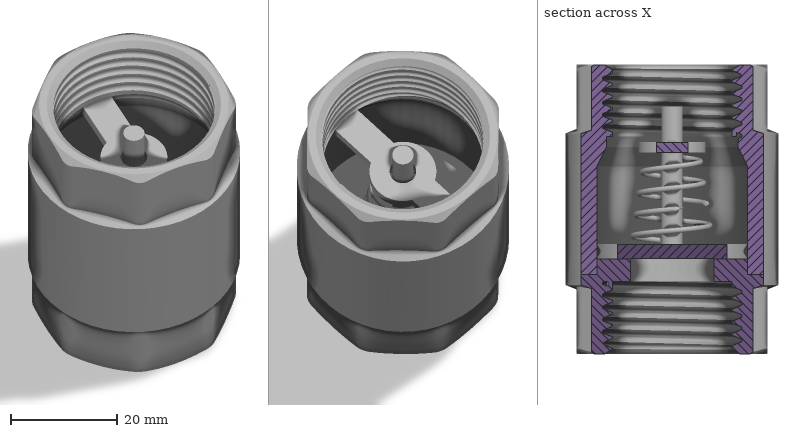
import cadquery as cq
import math

total_height = 54.5
body_diameter = 40.0
across_flats = 36.0
flat_count = 8
corner_radius = 3.55
shoulder_height = 12.95
shoulder_top = total_height - shoulder_height
split_height = 14.95
shoulder_slope = 22.0
octagon_chamfer_slope = 37.0
octagon_chamfer_diameter = 35.7

mouth_diameter = 32.75
mouth_chamfer_depth = 0.9
thread_minor_diameter = 30.35
thread_major_diameter = 33.25
thread_pitch = 2.3
thread_flank_angle = 27.5
thread_root_rounding = 0.315
thread_start_angle = -130.0
thread_turns = 4.9
thread_runout_turns = 0.7
thread_cut_overlap = 0.15
thread_start_depth = 13.4
port_depth = 13.6

guide_seat_diameter = 32.1
cone_top = 38.9
chamber_diameter = 34.95
chamber_top = 35.25
passage_diameter = 25.8
seat_height = 18.0

poppet_diameter = 29.1
poppet_thickness = 2.7
stem_diameter = 4.0
stem_top = 46.55

guide_top = 39.9
guide_thickness = 2.0
hub_diameter = 12.6
arm_width = 6.0
guide_hole_diameter = 5.0

spring_wire_diameter = 1.0
spring_base_outer_diameter = 16.15
spring_step_per_turn = 0.6
spring_turns = 4.0


def cylinder(diameter, bottom, top):
    return cq.Workplane("XY").workplane(offset=bottom).circle(diameter / 2).extrude(top - bottom)


def cone(bottom_diameter, bottom, top_diameter, top):
    profile = [(0, bottom), (bottom_diameter / 2, bottom), (top_diameter / 2, top), (0, top)]
    return cq.Workplane("XZ").polyline(profile).close().revolve(360, (0, 0), (0, 1))


def turned_end_for_end(solid):
    """Swap the top and bottom ends about the middle of the valve."""
    middle = (0, 0, total_height / 2)
    return solid.rotate(middle, (1, 0, total_height / 2), 180)


def octagon_end(bottom):
    """Wrench octagon up to the top end face, with rounded corners and a conical chamfer."""
    corner_circle = across_flats / math.cos(math.pi / flat_count)
    octagon = (
        cq.Workplane("XY")
        .workplane(offset=bottom)
        .polygon(flat_count, corner_circle)
        .extrude(total_height - bottom)
        .rotate((0, 0, 0), (0, 0, 1), 180 / flat_count)
        .edges("|Z")
        .fillet(corner_radius)
    )
    chamfer_width = (corner_circle - octagon_chamfer_diameter) / 2
    chamfer_start = total_height - chamfer_width * math.tan(math.radians(octagon_chamfer_slope))
    limit = cylinder(corner_circle, bottom, chamfer_start).union(
        cone(corner_circle, chamfer_start, octagon_chamfer_diameter, total_height)
    )
    return octagon.intersect(limit)


def outside_end(joint):
    """Outside of the valve from the joint up: round body, sloped shoulder and wrench octagon."""
    rise = (body_diameter - across_flats) / 2 * math.tan(math.radians(shoulder_slope))
    round_body = cylinder(body_diameter, joint, shoulder_top)
    shoulder = cone(body_diameter, shoulder_top, across_flats, shoulder_top + rise)
    return round_body.union(shoulder).union(octagon_end(joint))


def groove_section(start):
    """V profile with a round root, centered at the given height on the +X side."""
    root_radius = thread_major_diameter / 2
    inner_radius = thread_minor_diameter / 2 - thread_cut_overlap
    flank_angle = math.radians(thread_flank_angle)
    root_half = thread_root_rounding * math.cos(flank_angle)
    root_end = root_radius - thread_root_rounding * (1 - math.sin(flank_angle))
    mouth_half = root_half + (root_end - inner_radius) * math.tan(flank_angle)
    return (
        cq.Workplane("XZ")
        .moveTo(inner_radius, start - mouth_half)
        .lineTo(root_end, start - root_half)
        .threePointArc((root_radius, start), (root_end, start + root_half))
        .lineTo(inner_radius, start + mouth_half)
        .close()
    )


def thread_groove():
    """Helical groove that rises from the bottom of the upper port and runs out below its mouth."""
    root_radius = thread_major_diameter / 2
    start = total_height - thread_start_depth
    full_rise = thread_pitch * thread_turns
    helix = cq.Wire.makeHelix(thread_pitch, full_rise, root_radius, cq.Vector(0, 0, start))
    full_groove = groove_section(start).sweep(cq.Workplane(helix), isFrenet=True)

    runout_start = start + full_rise
    runout_rise = thread_pitch * thread_runout_turns
    thread_depth = (thread_major_diameter - thread_minor_diameter) / 2
    taper = math.degrees(math.atan2(thread_depth, runout_rise))
    spiral = cq.Wire.makeHelix(
        thread_pitch, runout_rise, root_radius, cq.Vector(0, 0, runout_start), angle=-taper
    )
    runout = groove_section(runout_start).sweep(cq.Workplane(spiral), isFrenet=True)
    runout_angle = thread_start_angle + 360 * thread_turns
    return [
        full_groove.rotate((0, 0, 0), (0, 0, 1), thread_start_angle),
        runout.rotate((0, 0, 0), (0, 0, 1), runout_angle),
    ]


def cut_port(body):
    """Bore, mouth chamfer and thread of the upper port."""
    body = body.cut(cylinder(thread_minor_diameter, total_height - port_depth, total_height))
    body = body.cut(cone(thread_minor_diameter, total_height - mouth_chamfer_depth, mouth_diameter, total_height))
    for groove in thread_groove():
        body = body.cut(groove)
    return body


def make_housing():
    """Main body: upper port, ring seat for the guide, and a chamber that widens below it."""
    body = cut_port(outside_end(split_height))
    body = body.cut(cylinder(guide_seat_diameter, cone_top, total_height - port_depth))
    body = body.cut(cone(chamber_diameter, chamber_top, guide_seat_diameter, cone_top))
    return body.cut(cylinder(chamber_diameter, split_height, chamber_top))


def make_end_cap():
    """Lower port, made as an upper one and turned over, with a spigot that carries the valve seat."""
    cap = turned_end_for_end(cut_port(outside_end(total_height - split_height)))
    cap = cap.union(cylinder(chamber_diameter, port_depth, seat_height))
    return cap.cut(cylinder(passage_diameter, port_depth, seat_height))


def make_poppet():
    """Sealing disc on the seat, with a stem that slides in the guide."""
    disc = cylinder(poppet_diameter, seat_height, seat_height + poppet_thickness)
    return disc.union(cylinder(stem_diameter, seat_height, stem_top))


def make_guide():
    """Flat bar across the housing with a round hub and a clearance hole for the stem."""
    bottom = guide_top - guide_thickness
    arms = (
        cq.Workplane("XY")
        .workplane(offset=bottom)
        .rect(guide_seat_diameter, arm_width)
        .extrude(guide_thickness)
        .intersect(cylinder(guide_seat_diameter, bottom, guide_top))
    )
    guide = arms.union(cylinder(hub_diameter, bottom, guide_top))
    return guide.cut(cylinder(guide_hole_diameter, bottom, guide_top))


def make_spring():
    """Conical coil spring between the poppet disc and the guide hub."""
    wire_radius = spring_wire_diameter / 2
    base = seat_height + poppet_thickness + wire_radius
    height = guide_top - guide_thickness - wire_radius - base
    pitch = height / spring_turns
    base_radius = spring_base_outer_diameter / 2 - wire_radius
    taper = math.degrees(math.atan2(spring_step_per_turn * spring_turns, height))
    helix = cq.Wire.makeHelix(pitch, height, base_radius, cq.Vector(0, 0, base), angle=-taper)
    return (
        cq.Workplane("XZ")
        .center(base_radius, base)
        .circle(wire_radius)
        .sweep(cq.Workplane(helix), isFrenet=True)
    )


housing = make_housing()
end_cap = make_end_cap()
poppet = make_poppet()
guide = make_guide()
spring = make_spring()

result = cq.Compound.makeCompound([
    housing.val(),
    end_cap.val(),
    poppet.val(),
    guide.val(),
    spring.val(),
])